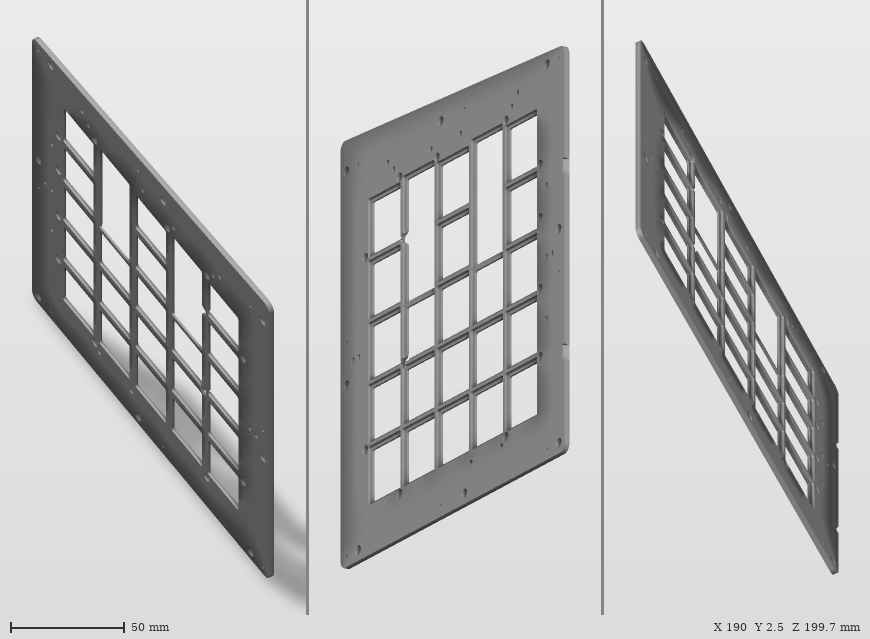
import cadquery as cq
import math

PLATE_WIDTH = 190.0
PLATE_THICKNESS = 2.5
LEFT_HEIGHT = 190.0
TOP_SLOPE = 3.0
RIGHT_HEIGHT = LEFT_HEIGHT + PLATE_WIDTH * math.tan(math.radians(TOP_SLOPE))
CORNER_RADIUS = 4.0

GRID_X = 95.0
GRID_Z = 95.0
KEY_PITCH = 29.0
KEY_COUNT = 5
KEY_SIZE = 24.5
KEY_CORNER_RADIUS = 1.0
TALL_KEY_WIDTH = 24.0
TALL_KEY_HEIGHT = 57.5
TALL_KEY_CORNER_RADIUS = 0.75
TALL_KEY_COLUMNS = (1, 3)
TALL_KEY_ROWS = (3, 4)
KEY_LIP = 1.0
KEY_RELIEF = 1.5

RIM_INSET = 5.0
RIM_STEP = 10.0
RIM_SCREW_DIAMETER = 4.5
RIM_PILOT_DIAMETER = 1.6

STANDOFF_DIAMETER = 4.5
STANDOFF_NEAR = 45.0
STANDOFF_FAR = 74.0
STANDOFF_SHIFT = 13.25
STANDOFF_LEFT_HIGH = 20.0
INNER_STANDOFF_X = 42.25
INNER_MOUTH_RADIUS = 2.0

WIRE_HOLE_DIAMETER = 2.6
WIRE_UPPER_Z = 179.0
WIRE_LOWER_Z = 174.25
WIRE_UPPER_X = (40.0, 150.0)
WIRE_LOWER_X = (45.0, 88.25, 113.25, 145.0)
SLOT_LENGTH = 3.0
SLOT_WIDTH = 2.2
SLOT_INNER = 79.4
SLOT_OUTER = 84.4
LEFT_SLOT_Z = (66.0, 128.3)
BOTTOM_SLOT_X = (53.75, 79.75)
BOTTOM_SLOT_Z = 17.9

NOTCH_Z = (46.5, 133.5)
NOTCH_HEIGHT = 7.0
NOTCH_DEPTH = 2.0
NOTCH_BEVEL = 1.75


def on_front(points):
    """Sketch plane on the front face (Y = 0); negative extrusions run to +Y."""
    plane = cq.Plane(origin=(0, 0, 0), xDir=(1, 0, 0), normal=(0, -1, 0))
    return cq.Workplane(plane).pushPoints(points)


def hole_cutter(points, diameter):
    return on_front(points).circle(diameter / 2).extrude(-PLATE_THICKNESS)


def slot_cutter(points, angle):
    return on_front(points).slot2D(SLOT_LENGTH, SLOT_WIDTH, angle).extrude(-PLATE_THICKNESS)


def opening_cutter(points, width, height, radius):
    return on_front(points).rect(width, height).extrude(-PLATE_THICKNESS).edges("|Y").fillet(radius)


def make_plate():
    outline = [(0, 0), (PLATE_WIDTH, 0), (PLATE_WIDTH, RIGHT_HEIGHT), (0, LEFT_HEIGHT)]
    blank = on_front([(0, 0)]).polyline(outline).close().extrude(-PLATE_THICKNESS)
    return blank.edges("|Y").fillet(CORNER_RADIUS)


def key_position(column, row):
    middle = (KEY_COUNT - 1) / 2
    return (GRID_X + (column - middle) * KEY_PITCH, GRID_Z + (row - middle) * KEY_PITCH)


def single_keys():
    points = []
    for column in range(KEY_COUNT):
        for row in range(KEY_COUNT):
            if column not in TALL_KEY_COLUMNS or row not in TALL_KEY_ROWS:
                points.append(key_position(column, row))
    return points


def tall_keys():
    middle_row = sum(TALL_KEY_ROWS) / len(TALL_KEY_ROWS)
    return [key_position(column, middle_row) for column in TALL_KEY_COLUMNS]


def cut_keys(plate):
    plate = plate.cut(opening_cutter(single_keys(), KEY_SIZE, KEY_SIZE, KEY_CORNER_RADIUS))
    tall = opening_cutter(tall_keys(), TALL_KEY_WIDTH, TALL_KEY_HEIGHT, TALL_KEY_CORNER_RADIUS)
    return plate.cut(tall)


def cut_key_reliefs(plate):
    """Widen the rear of every opening, leaving a thin lip at the front."""
    growth = 2 * KEY_RELIEF
    single = opening_cutter(single_keys(), KEY_SIZE + growth, KEY_SIZE + growth, KEY_CORNER_RADIUS)
    tall = opening_cutter(
        tall_keys(), TALL_KEY_WIDTH + growth, TALL_KEY_HEIGHT + growth, TALL_KEY_CORNER_RADIUS
    )
    for relief in (single, tall):
        plate = plate.cut(relief.translate((0, KEY_LIP, 0)))
    return plate


def cut_inner_standoff_hole(plate, x, z):
    """Hole that breaks into a key opening, with the two sharp edges of its mouth rounded."""
    radius = STANDOFF_DIAMETER / 2
    plate = plate.cut(hole_cutter([(x, z)], STANDOFF_DIAMETER))
    left_half = cq.selectors.BoxSelector(
        (x - radius, 0, z - radius), (x, PLATE_THICKNESS, z + radius)
    )
    return plate.edges("|Y").edges(left_half).fillet(INNER_MOUTH_RADIUS)


def cut_rim_holes(plate):
    """Screw and pilot holes in pairs that repeat when turned half round the grid centre."""
    near = RIM_INSET
    far = near + RIM_STEP
    mid_low = GRID_X - RIM_STEP
    mid_high = GRID_X + RIM_STEP
    span = 2 * GRID_X
    screws = [(near, near), (mid_low, near), (span - far, near), (near, mid_high)]
    pilots = [(far, near), (mid_high, near), (span - near, near), (near, mid_low)]
    screws += [(span - x, span - z) for x, z in screws]
    pilots += [(span - x, span - z) for x, z in pilots]
    plate = plate.cut(hole_cutter(screws, RIM_SCREW_DIAMETER))
    return plate.cut(hole_cutter(pilots, RIM_PILOT_DIAMETER))


def cut_standoff_holes(plate):
    offsets = []
    for side in (-1, 1):
        for end in (-1, 1):
            offsets.append((side * STANDOFF_NEAR, end * STANDOFF_FAR))
            offsets.append((side * STANDOFF_FAR, end * STANDOFF_NEAR))
    offsets.append((STANDOFF_SHIFT, STANDOFF_FAR))
    offsets.append((-STANDOFF_FAR, -STANDOFF_SHIFT))
    offsets.append((-STANDOFF_FAR, STANDOFF_LEFT_HIGH))
    points = [(GRID_X + x, GRID_Z + z) for x, z in offsets]
    return plate.cut(hole_cutter(points, STANDOFF_DIAMETER))


def cut_wire_openings(plate):
    holes = [(x, WIRE_UPPER_Z) for x in WIRE_UPPER_X]
    holes += [(x, WIRE_LOWER_Z) for x in WIRE_LOWER_X]
    upright = [(GRID_X - SLOT_INNER, z) for z in LEFT_SLOT_Z]
    for offset in (-SLOT_OUTER, -SLOT_INNER, SLOT_INNER, SLOT_OUTER):
        upright.append((GRID_X + offset, GRID_Z))
    level = [(x, BOTTOM_SLOT_Z) for x in BOTTOM_SLOT_X]
    plate = plate.cut(hole_cutter(holes, WIRE_HOLE_DIAMETER))
    plate = plate.cut(slot_cutter(upright, 90))
    return plate.cut(slot_cutter(level, 0))


def cut_edge_notches(plate):
    profile = [(0, 0), (NOTCH_DEPTH, NOTCH_BEVEL), (NOTCH_DEPTH, PLATE_THICKNESS), (0, PLATE_THICKNESS)]
    for z in NOTCH_Z:
        bottom = cq.Workplane("XY").workplane(offset=z - NOTCH_HEIGHT / 2)
        plate = plate.cut(bottom.polyline(profile).close().extrude(NOTCH_HEIGHT))
    return plate


result = make_plate()
result = cut_keys(result)
for inner_z in (GRID_Z - STANDOFF_SHIFT, GRID_Z + STANDOFF_NEAR):
    result = cut_inner_standoff_hole(result, GRID_X + INNER_STANDOFF_X, inner_z)
result = cut_key_reliefs(result)
result = cut_rim_holes(result)
result = cut_standoff_holes(result)
result = cut_wire_openings(result)
result = cut_edge_notches(result)